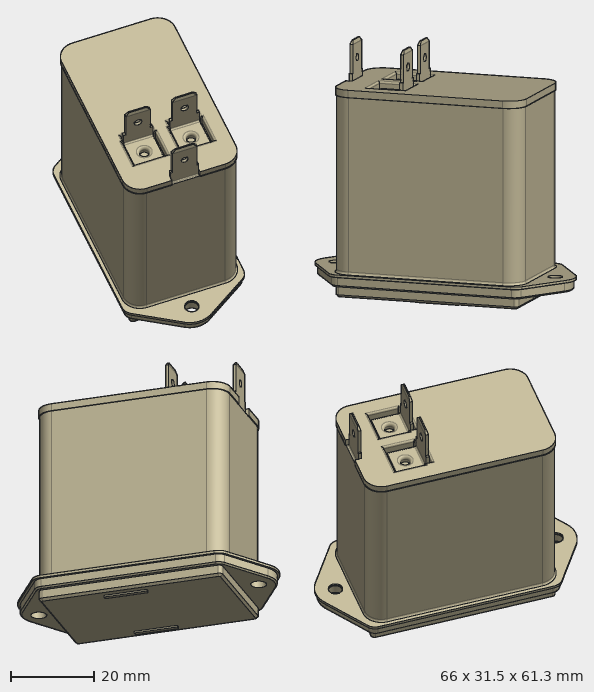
import cadquery as cq
import math


flange_length = 66.0
flange_width = 31.5
flange_tip_radius = 6.35
flange_corner_radius = 3.0
flange_side_angle = 56.3
rim_inset = 0.6
rim_chamfer = 0.4
rim_bottom = 2.7
plate_bottom = 5.15
plate_top = 5.8
mount_hole_diameter = 3.4
rim_hole_diameter = 3.8
mount_hole_offset = 28.0

base_length = 46.65
base_width = 27.85
base_corner_radius = 0.9
base_chamfer = 0.6

strip_length = 10.95
strip_width = 1.05
strip_height = 0.43
strip_center_x = -1.9
strip_offset_y = 11.2

body_length = 48.05
body_width = 28.9
body_corner_radius = 4.3
cove_radius = 0.8
cove_sink = 0.1
lid_bottom = 49.2
lid_top = 51.1
lid_overhang = 0.23

terminal_offset_y = 6.04
recess_floor = 48.7
recess_left = 8.7
recess_right = 16.3
recess_width = 8.65
slot_left = 6.85
slot_width = 7.8
recess_lip_radius = 0.495

blade_thickness = 0.8
blade_bevel_depth = 0.23
line_blade_left = 7.45
line_blade_width = 6.35
line_base_width = 7.6
line_shoulder = 52.7
line_top = 60.47
line_tip_chamfer = 0.9
line_hole_diameter = 1.9
line_hole_height = 56.0
foot_right = 15.65
foot_top = 49.5
bend_radius = 0.4
foot_hole_x = 12.3
foot_hole_diameter = 2.25
foot_hole_lip_radius = 0.8
foot_hole_depth = 1.6

earth_blade_left = 22.55
earth_blade_width = 6.4
earth_base_width = 7.25
earth_bend_radius = 0.23
earth_shoulder = 52.85
earth_top = 60.865
earth_tip_chamfer = 0.9
earth_hole_diameter = 1.7
earth_hole_height = 56.3


def box_between(x0, x1, width, z0, z1):
    """Box from x0 to x1 and z0 to z1, centred on Y = 0."""
    return cq.Workplane("XY").box(x1 - x0, width, z1 - z0, centered=False).translate((x0, -width / 2, z0))


def rounded_block(length, width, radius, z0, z1):
    """Centred block with rounded vertical corners."""
    return cq.Workplane("XY").workplane(offset=z0).rect(length, width).extrude(z1 - z0).edges("|Z").fillet(radius)


def flange_layer(inset, hole_diameter, z0, z1):
    """Six-sided layer with round tips and corners, inset evenly from the flange outline."""
    angle = math.radians(flange_side_angle)
    tip_radius = flange_tip_radius - inset
    half_width = flange_width / 2 - inset
    sharp_tip = flange_length / 2 - flange_tip_radius + tip_radius / math.sin(angle)
    sharp_corner = sharp_tip - half_width / math.tan(angle)
    hexagon = [
        (sharp_tip, 0),
        (sharp_corner, half_width),
        (-sharp_corner, half_width),
        (-sharp_tip, 0),
        (-sharp_corner, -half_width),
        (sharp_corner, -half_width),
    ]
    layer = cq.Workplane("XY").workplane(offset=z0).polyline(hexagon).close().extrude(z1 - z0)
    layer = layer.edges("|Z and (>Y or <Y)").fillet(flange_corner_radius - inset)
    layer = layer.edges("|Z and (>X or <X)").fillet(tip_radius)
    holes = (
        cq.Workplane("XY")
        .pushPoints([(-mount_hole_offset, 0), (mount_hole_offset, 0)])
        .circle(hole_diameter / 2)
        .extrude(z1)
    )
    return layer.cut(holes)


def make_flange():
    rim = flange_layer(rim_inset, rim_hole_diameter, rim_bottom, plate_bottom)
    rim = rim.newObject(rim.faces("<Z").val().outerWire().Edges()).chamfer(rim_chamfer)
    return rim.union(flange_layer(0, mount_hole_diameter, plate_bottom, plate_top))


def make_base():
    base = rounded_block(base_length, base_width, base_corner_radius, 0, plate_bottom)
    base = base.faces("<Z").chamfer(base_chamfer)
    for side in (-1, 1):
        strip = cq.Workplane("XY").box(strip_length, strip_width, strip_height, centered=(True, True, False))
        base = base.union(strip.translate((strip_center_x, side * strip_offset_y, -strip_height)))
    return base


def make_housing():
    cove_foot = plate_top - cove_sink
    body = rounded_block(body_length, body_width, body_corner_radius, cove_foot, lid_bottom)
    seat = rounded_block(
        body_length + 2 * cove_radius,
        body_width + 2 * cove_radius,
        body_corner_radius + cove_radius,
        plate_bottom,
        cove_foot,
    )
    body_foot = cq.selectors.BoxSelector(
        (-body_length / 2 - 0.05, -body_width / 2 - 0.05, cove_foot - 0.05),
        (body_length / 2 + 0.05, body_width / 2 + 0.05, cove_foot + 0.05),
        boundingbox=True,
    )
    housing = seat.union(body).edges(body_foot).fillet(cove_radius * 0.99)
    lid = rounded_block(
        body_length + 2 * lid_overhang,
        body_width + 2 * lid_overhang,
        body_corner_radius + lid_overhang,
        lid_bottom,
        lid_top,
    )
    return housing.union(lid)


def make_recess():
    """Recess volume whose edge flares out at the lid surface as a rounded lip."""
    recess = box_between(recess_left, recess_right, recess_width, recess_floor, lid_top)
    return recess.union(box_between(slot_left, recess_left, slot_width, recess_floor, lid_top))


def make_blade(left, base_bottom, base_width, shoulder, width, top, tip_chamfer, hole_diameter, hole_height):
    """Upright tab with shoulders, clipped and bevelled tip, and a cross hole."""
    right = left + blade_thickness
    tip = box_between(left, right, width, base_bottom, top).edges("|X and >Z").chamfer(tip_chamfer)
    bevel_start = top - tip_chamfer
    profile = [
        (left, base_bottom),
        (right, base_bottom),
        (right, bevel_start),
        (right - blade_bevel_depth, top),
        (left + blade_bevel_depth, top),
        (left, bevel_start),
    ]
    bevelled = cq.Workplane("XZ").polyline(profile).close().extrude(width / 2, both=True)
    base = box_between(left, right, base_width, base_bottom, shoulder)
    hole = cq.Workplane("YZ").center(0, hole_height).circle(hole_diameter / 2).extrude(right)
    return tip.intersect(bevelled).union(base).cut(hole)


def make_line_terminal():
    blade = make_blade(
        line_blade_left, recess_floor, line_base_width, line_shoulder, line_blade_width,
        line_top, line_tip_chamfer, line_hole_diameter, line_hole_height,
    )
    blade_right = line_blade_left + blade_thickness
    foot_profile = (
        cq.Workplane("XZ")
        .moveTo(blade_right, recess_floor)
        .lineTo(foot_right, recess_floor)
        .lineTo(foot_right, foot_top)
        .lineTo(blade_right + bend_radius, foot_top)
        .radiusArc((blade_right, foot_top + bend_radius), bend_radius)
        .close()
    )
    return blade.union(foot_profile.extrude(line_base_width / 2, both=True))


def make_foot_hole():
    """Blind hole with a rounded lip, as a solid of revolution."""
    radius = foot_hole_diameter / 2
    profile = (
        cq.Workplane("XZ")
        .lineTo(radius + foot_hole_lip_radius, 0)
        .radiusArc((radius, -foot_hole_lip_radius), -foot_hole_lip_radius)
        .lineTo(radius, -foot_hole_depth)
        .lineTo(0, -foot_hole_depth)
        .close()
    )
    return profile.revolve(360, (0, 0, 0), (0, 1, 0)).translate((foot_hole_x, 0, foot_top))


def add_line_terminals(part):
    """Cut the two recesses, round their lips, then stand a terminal in each."""
    shifts = [(0, side * terminal_offset_y, 0) for side in (-1, 1)]
    for shift in shifts:
        part = part.cut(make_recess().translate(shift))
    reach_y = terminal_offset_y + recess_width / 2
    lips = cq.selectors.BoxSelector(
        (slot_left - 0.05, -reach_y - 0.05, lid_top - 0.05),
        (recess_right + 0.05, reach_y + 0.05, lid_top + 0.05),
    )
    part = part.edges(lips).fillet(recess_lip_radius)
    for shift in shifts:
        part = part.union(make_line_terminal().translate(shift)).cut(make_foot_hole().translate(shift))
    return part


def add_earth_terminal(part):
    """Notch the lid edge and stand the earth blade in it, with a rounded inside bend."""
    notch = box_between(earth_blade_left, body_length, earth_base_width, lid_bottom, lid_top)
    blade = make_blade(
        earth_blade_left, lid_bottom, earth_base_width, earth_shoulder, earth_blade_width,
        earth_top, earth_tip_chamfer, earth_hole_diameter, earth_hole_height,
    )
    bend = (
        cq.Workplane("XZ")
        .moveTo(earth_blade_left + blade_thickness, lid_bottom)
        .line(earth_bend_radius, 0)
        .radiusArc((earth_blade_left + blade_thickness, lid_bottom + earth_bend_radius), earth_bend_radius)
        .close()
        .extrude(earth_base_width / 2, both=True)
    )
    return part.cut(notch).union(blade).union(bend)


result = make_base().union(make_flange()).union(make_housing())
result = add_line_terminals(result)
result = add_earth_terminal(result)